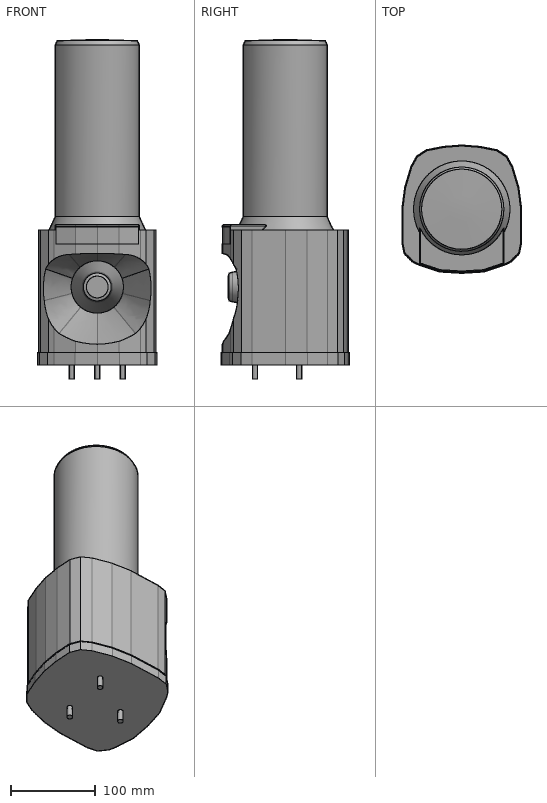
import cadquery as cq
import math

TOTAL_HEIGHT = 402.0
PIN_LENGTH = 16.5
CROWN_Z = TOTAL_HEIGHT - PIN_LENGTH

BASE_HALF_WIDTH = 142.0 / 2
BASE_HALF_DEPTH = 152.0 / 2
BASE_HEIGHT = 15.0
HOUSING_TOP_Z = 160.0
HOUSING_INSET = 1.2

PAD_HALF_WIDTH = 50.3
PAD_TOP_Z = 166.5
PAD_BACK_Y = -20.0
PAD_CHAMFER = 1.5

LABEL_SIDE_BORDER = 1.2
LABEL_TOP_BORDER = 3.0
LABEL_DEPTH = 0.5
LABEL_BOTTOM_Z = 143.0
LABEL_TOP_Z = PAD_TOP_Z - LABEL_TOP_BORDER

TOWER_RADIUS = 50.0
FLARE_RADIUS = 57.0
FLARE_TOP_Z = 175.7
TOWER_SHOULDER_Z = 379.0
CROWN_RADIUS = 47.5
CROWN_RIM_Z = 384.0

HORN_Z = 92.5
HORN_ROOT_RADIUS = 31.0
HORN_ROOT_Y = 12.0
MOUTH_Y = -BASE_HALF_DEPTH
CONE_TIP_RADIUS = 17.5
CONE_TIP_Y = -62.5
CAP_RADIUS = 16.5
CAP_Y = -66.5
CAP_FACE_RADIUS = 13.0
CAP_FACE_Y = -67.5

PIN_RADIUS = 3.2
PIN_SPACING = 60.5
PIN_CENTER_Y = -1.0


def mirrored(half):
    """Complete a right-hand half outline that starts and ends on the line x = 0."""
    return half + [(-x, v) for x, v in reversed(half) if x > 0]


def base_outline():
    """Faceted plan outline of the base plate."""
    right_half = [
        (0, -BASE_HALF_DEPTH),
        (26.0, -74.5),
        (51.5, -66.0),
        (58.7, -62.5),
        (68.5, -52.5),
        (BASE_HALF_WIDTH, -39.5),
        (BASE_HALF_WIDTH, 0.5),
        (67.5, 26.0),
        (60.5, 50.3),
        (53.5, 62.7),
        (42.0, 70.5),
        (21.0, 74.5),
        (0, BASE_HALF_DEPTH),
    ]
    return cq.Workplane("XY").polyline(mirrored(right_half)).close()


def plan_prism(inset, bottom, top):
    """Prism on the base outline moved inward by the inset."""
    outline = base_outline().offset2D(-inset, "intersection")
    return outline.extrude(top - bottom).translate((0, 0, bottom))


def front_block(half_width, back_y, bottom, top):
    """Block from back_y forward past the front of the housing."""
    front_y = -2 * BASE_HALF_DEPTH
    block = cq.Workplane("XY").box(
        2 * half_width, back_y - front_y, top - bottom, centered=(True, False, False)
    )
    return block.translate((0, front_y, bottom))


def housing():
    """Base plate with the slightly smaller body on top."""
    plate = base_outline().extrude(BASE_HEIGHT)
    return plate.union(plan_prism(HOUSING_INSET, BASE_HEIGHT, HOUSING_TOP_Z))


def pad():
    """Chamfered pad, flush with the housing front and standing above its top."""
    block = front_block(PAD_HALF_WIDTH, PAD_BACK_Y, LABEL_BOTTOM_Z, PAD_TOP_Z)
    block = block.intersect(plan_prism(HOUSING_INSET, LABEL_BOTTOM_Z, PAD_TOP_Z))
    return block.faces(">Z").chamfer(PAD_CHAMFER)


def label_recess():
    """Thin layer on the front face that is removed between the label borders."""
    half_width = PAD_HALF_WIDTH - LABEL_SIDE_BORDER
    block = front_block(half_width, PAD_BACK_Y, LABEL_BOTTOM_Z, LABEL_TOP_Z)
    return block.cut(plan_prism(HOUSING_INSET + LABEL_DEPTH, LABEL_BOTTOM_Z, LABEL_TOP_Z))


def tower():
    """Round tower with a flared foot, bevelled shoulder and low conical crown."""
    profile = [
        (0, HOUSING_TOP_Z),
        (FLARE_RADIUS, HOUSING_TOP_Z),
        (TOWER_RADIUS, FLARE_TOP_Z),
        (TOWER_RADIUS, TOWER_SHOULDER_Z),
        (CROWN_RADIUS, CROWN_RIM_Z),
        (0, CROWN_Z),
    ]
    return cq.Workplane("XZ").polyline(profile).close().revolve(360, (0, 0), (0, 1))


def arc_loop(points, y):
    """Closed wire in the plane at y: three-point arcs through every second point."""
    corners = [cq.Vector(x, y, z) for x, z in points]
    corners.append(corners[0])
    edges = [cq.Edge.makeThreePointArc(*corners[i:i + 3]) for i in range(0, len(points), 2)]
    return cq.Wire.assembleEdges(edges)


def horn_bowl():
    """Ruled transition from the round root to the wide, flat-topped mouth."""
    right_half = [
        (0, 132.3),
        (18.0, 132.3),
        (34.0, 132.0),
        (56.3, 127.0),
        (69.0, 116.5),
        (73.5, 95.0),
        (72.0, 74.0),
        (64.0, 50.3),
        (48.3, 33.8),
        (26.0, 27.0),
        (0, 24.0),
    ]
    mouth = mirrored(right_half)
    angles = [math.atan2(z - HORN_Z, x) for x, z in mouth]
    root = [
        (HORN_ROOT_RADIUS * math.cos(a), HORN_Z + HORN_ROOT_RADIUS * math.sin(a)) for a in angles
    ]
    loops = [arc_loop(root, HORN_ROOT_Y), arc_loop(mouth, MOUTH_Y)]
    return cq.Workplane(cq.Solid.makeLoft(loops, True))


def horn_cone():
    """Cone narrowing from the root to a bevelled cap."""
    profile = [
        (0, HORN_ROOT_Y),
        (HORN_ROOT_RADIUS, HORN_ROOT_Y),
        (CONE_TIP_RADIUS, CONE_TIP_Y),
        (CAP_RADIUS, CAP_Y),
        (CAP_FACE_RADIUS, CAP_FACE_Y),
        (0, CAP_FACE_Y),
    ]
    cone = cq.Workplane("XY").polyline(profile).close().revolve(360, (0, 0), (0, 1))
    return cone.translate((0, 0, HORN_Z))


def mounting_pins():
    """Three pins below the base plate, one of them towards the front."""
    spread = PIN_SPACING / math.sqrt(3)
    pins = cq.Workplane("XY").center(0, PIN_CENTER_Y).polarArray(spread, -90, 360, 3)
    return pins.circle(PIN_RADIUS).extrude(-PIN_LENGTH)


result = (
    housing()
    .union(pad())
    .cut(label_recess())
    .union(tower())
    .cut(horn_bowl())
    .union(horn_cone())
    .union(mounting_pins())
)